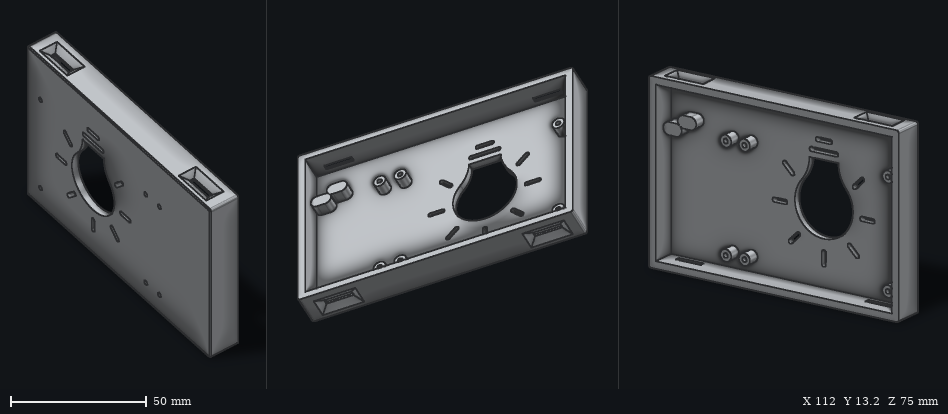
import cadquery as cq
import math

LENGTH = 112.0
DEPTH = 13.2
HEIGHT = 75.0
WALL = 3.0
CORNER_RADIUS = 1.0
FRONT_CHAMFER = 0.5

BULB_X = -15.5
BULB_Z = -2.5
BULB_RADIUS = 13.0
NECK_HALF_WIDTH = 6.5
NECK_TOP_Z = 15.3

SLOT_WIDTH = 1.8
RAY_LENGTH = 6.6
BASE_SLOTS = [(7.4, 23.0), (12.9, 18.6)]
RAYS = [
    (19.7, -4.4, 0),
    (15.8, 9.2, 45),
    (13.2, -17.6, -45),
    (0, -23.1, 90),
    (-13.2, -17.6, 45),
    (-15.5, 9.2, -45),
    (-19.5, -4.4, 0),
]

POST_XS = [-47.6, 16.7, 25.1]
POST_ZS = [16.4, -28.3]
POST_RADIUS = 2.5
POST_END_Y = 8.1
HOLE_DIAMETER = 1.9

OBROUND_CENTERS = [(42.5, 20.2), (49.0, 16.4)]
OBROUND_RADIUS = 2.6
OBROUND_SPACING = 3.1

OPENING_X = 42.5
OPENING_Y = 6.2
OPENING_LENGTH = 16.9
OPENING_WIDTH = 8.1
THROAT_LENGTH = 11.1
THROAT_WIDTH = 2.0
TAPER_DEPTH = 2.0


def front_plane(y=0.0):
    """Sketch plane whose axes are X and Z, where negative extrusions go toward +Y."""
    return cq.Workplane("XZ", origin=(0, y, 0))


def shell():
    body = front_plane().rect(LENGTH, HEIGHT).extrude(-DEPTH)
    body = body.edges("|Y").fillet(CORNER_RADIUS)
    body = body.faces("<Y").edges().chamfer(FRONT_CHAMFER)
    cavity = front_plane(WALL).rect(LENGTH - 2 * WALL, HEIGHT - 2 * WALL).extrude(-DEPTH)
    return body.cut(cavity)


def bulb_cutter():
    """Round globe blending into the neck by arcs that are vertical at the neck top."""
    rise = NECK_TOP_Z - BULB_Z
    gap = BULB_RADIUS - NECK_HALF_WIDTH
    neck_radius = (rise**2 + NECK_HALF_WIDTH**2 - BULB_RADIUS**2) / (2 * gap)
    join_angle = math.asin(rise / (BULB_RADIUS + neck_radius))
    join_x = BULB_RADIUS * math.cos(join_angle)
    join_z = BULB_RADIUS * math.sin(join_angle)
    mid_x = NECK_HALF_WIDTH + neck_radius * (1 - math.cos(join_angle / 2))
    mid_z = rise - neck_radius * math.sin(join_angle / 2)
    return (
        cq.Workplane("XZ", origin=(BULB_X, 0, BULB_Z))
        .moveTo(-NECK_HALF_WIDTH, rise)
        .lineTo(NECK_HALF_WIDTH, rise)
        .threePointArc((mid_x, mid_z), (join_x, join_z))
        .threePointArc((0, -BULB_RADIUS), (-join_x, join_z))
        .threePointArc((-mid_x, mid_z), (-NECK_HALF_WIDTH, rise))
        .close()
        .extrude(-WALL)
    )


def slot_cutter(x, z, length, angle=0):
    return front_plane().center(x, z).slot2D(length, SLOT_WIDTH, angle).extrude(-WALL)


def opening_cutter(x, side):
    """Funnel and straight throat through the top (side = 1) or bottom (side = -1) wall."""
    outer = cq.Workplane("XY", origin=(x, OPENING_Y, side * HEIGHT / 2))
    funnel = (
        outer.rect(OPENING_LENGTH, OPENING_WIDTH)
        .workplane(offset=-side * TAPER_DEPTH)
        .rect(THROAT_LENGTH, THROAT_WIDTH)
        .loft(ruled=True)
    )
    throat = outer.rect(THROAT_LENGTH, THROAT_WIDTH).extrude(-side * WALL)
    return funnel.union(throat)


def add_posts(body):
    """Posts standing on the inside of the front wall, the screw posts drilled right through."""
    screw_points = [(x, z) for x in POST_XS for z in POST_ZS]
    post_length = POST_END_Y - WALL
    obround_length = OBROUND_SPACING + 2 * OBROUND_RADIUS
    inner_face = front_plane(WALL)
    posts = inner_face.pushPoints(screw_points).circle(POST_RADIUS).extrude(-post_length)
    obrounds = (
        inner_face.pushPoints(OBROUND_CENTERS)
        .slot2D(obround_length, 2 * OBROUND_RADIUS)
        .extrude(-post_length)
    )
    holes = front_plane().pushPoints(screw_points).circle(HOLE_DIAMETER / 2).extrude(-POST_END_Y)
    return body.union(posts).union(obrounds).cut(holes)


result = add_posts(shell())
result = result.cut(bulb_cutter())
for slot_length, slot_z in BASE_SLOTS:
    result = result.cut(slot_cutter(BULB_X, slot_z, slot_length))
for offset, ray_z, ray_angle in RAYS:
    result = result.cut(slot_cutter(BULB_X + offset, ray_z, RAY_LENGTH, ray_angle))
for wall_side in (1, -1):
    for opening_x in (-OPENING_X, OPENING_X):
        result = result.cut(opening_cutter(opening_x, wall_side))